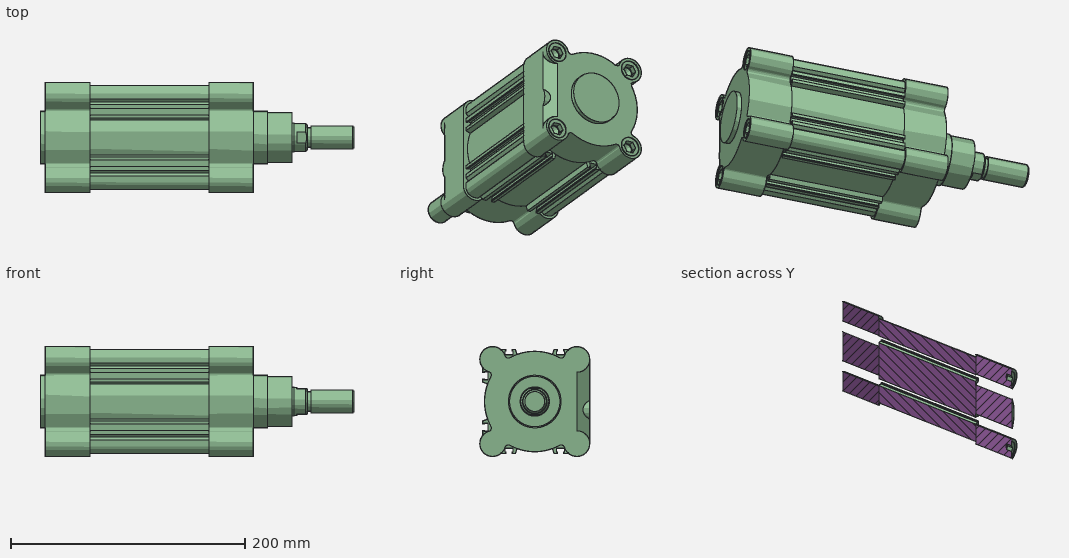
import cadquery as cq
import math


REAR_SPIGOT_LENGTH = 4.0
BODY_LENGTH = 178.0
REAR_CAP_LENGTH = 38.5
FRONT_CAP_LENGTH = 38.0
REAR_FACE = REAR_SPIGOT_LENGTH
TUBE_START = REAR_FACE + REAR_CAP_LENGTH
FRONT_FACE = REAR_FACE + BODY_LENGTH
TUBE_END = FRONT_FACE - FRONT_CAP_LENGTH

CAP_RADIUS = 43.0
CORNER_PITCH = 72.0
POST_RADIUS = 11.0
POST_FILLET = 3.0
CORNER = CORNER_PITCH / 2
PANEL_FACE = CORNER + POST_RADIUS
PANEL_BEVEL_ANGLE = 30.0
PANEL_BEVEL_LENGTH = POST_RADIUS * math.tan(math.radians(PANEL_BEVEL_ANGLE))
PORT_BOSS_RADIUS = 11.5
PORT_BOSS_INSET = 14.5
PORT_BOSS_Z = -7.0
SPIGOT_RADIUS = 22.5
FRONT_SPIGOT_LENGTH = 12.0
NOSE_RADIUS = 21.5
NOSE_LENGTH = 21.0
NOSE_LIP_RADIUS = 12.5
NOSE_LIP_LENGTH = 1.7

SCREW_HEAD_RADIUS = 8.5
SCREW_HEAD_RECESS = 0.8
HEX_ACROSS_FLATS = 10.0
HEX_DEPTH = 6.0
CONE_RADIUS = 4.5
CONE_DEPTH = 2.6

TUBE_RADIUS = 43.0
TUBE_HALF_WIDTH = 44.5
TUBE_CORNER_RADIUS = 8.0
RIB_FOOT = 15.0
RIB_CREST = 16.5
SLOT_CENTRE = 22.0
SLOT_OPENING = 5.3
SLOT_WIDTH = 6.6
SLOT_LIP_THICKNESS = 1.5
SLOT_FLOOR = 40.0
GROOVE_CENTRE = 30.4
GROOVE_DEPTH = 2.4

ROD_RADIUS = 12.0
ROD_CHAMFER = 1.5
ROD_SHOULDER = FRONT_FACE + 46.0
FLATS_LENGTH = 9.0
FLATS_WIDTH = 22.0
NECK_RADIUS = 8.5
NECK_LENGTH = 3.0
THREAD_RADIUS = 10.0
THREAD_CHAMFER = 1.5
ROD_END = ROD_SHOULDER + 40.0


def cross_section(x):
    """Sketch plane across the axis: local x is +Y, local y is +Z."""
    return cq.Workplane("YZ", origin=(x, 0, 0))


def corner_points():
    return [(sy * CORNER, sz * CORNER) for sy in (-1, 1) for sz in (-1, 1)]


def fillet_webs(x, length):
    """Webs that round the inside corners between the posts and the cap body."""
    post_distance = CORNER * math.sqrt(2)
    to_body = CAP_RADIUS + POST_FILLET
    to_post = POST_RADIUS + POST_FILLET
    spread = math.acos((to_body**2 + post_distance**2 - to_post**2) / (2 * to_body * post_distance))
    webs = None
    for quadrant in range(4):
        diagonal = math.radians(45 + 90 * quadrant)
        post = (post_distance * math.cos(diagonal), post_distance * math.sin(diagonal))
        for side in (-1, 1):
            angle = diagonal + side * spread
            centre = (to_body * math.cos(angle), to_body * math.sin(angle))
            web = cross_section(x).polyline([(0, 0), post, centre]).close().extrude(length)
            web = web.cut(cross_section(x).center(*centre).circle(POST_FILLET).extrude(length))
            webs = web if webs is None else webs.union(web)
    return webs


def port_panel(outer_face, inner_face):
    """Flat block on the +Y side of a cap."""
    start = min(outer_face, inner_face)
    length = abs(inner_face - outer_face)
    return cross_section(start).center(PANEL_FACE / 2, 0).rect(PANEL_FACE, CORNER_PITCH).extrude(length)


def panel_bevel(outer_face, inward):
    """Wedge that bevels the port panel at the outer cap face."""
    outline = [
        (outer_face, CORNER),
        (outer_face, PANEL_FACE),
        (outer_face + inward * PANEL_BEVEL_LENGTH, PANEL_FACE),
    ]
    return cq.Workplane("XY").polyline(outline).close().extrude(CORNER, both=True)


def port_boss(outer_face, inward):
    """Round boss that stands out of the bevel and ends flush with the port panel."""
    boss_x = outer_face + inward * PORT_BOSS_INSET
    boss_plane = cq.Workplane("XZ", origin=(boss_x, PANEL_FACE, PORT_BOSS_Z))
    return boss_plane.circle(PORT_BOSS_RADIUS).extrude(PANEL_FACE - CORNER)


def cap_body(outer_face, inner_face):
    start = min(outer_face, inner_face)
    length = abs(inner_face - outer_face)
    inward = math.copysign(1, inner_face - outer_face)
    body = cross_section(start).circle(CAP_RADIUS).extrude(length)
    body = body.union(fillet_webs(start, length))
    body = body.union(port_panel(outer_face, inner_face))
    body = body.cut(panel_bevel(outer_face, inward))
    body = body.union(port_boss(outer_face, inward))
    posts = cross_section(start).pushPoints(corner_points()).circle(POST_RADIUS).extrude(length)
    return body.union(posts)


def screw_sockets():
    """Shallow head recess, hexagon socket and conical bottom at each corner post."""
    hex_floor = REAR_FACE + HEX_DEPTH
    points = corner_points()
    hex_diameter = HEX_ACROSS_FLATS / math.cos(math.pi / 6)
    sockets = cross_section(REAR_FACE).pushPoints(points).circle(SCREW_HEAD_RADIUS).extrude(SCREW_HEAD_RECESS)
    hexagons = cross_section(REAR_FACE).pushPoints(points).polygon(6, hex_diameter).extrude(HEX_DEPTH)
    sockets = sockets.union(hexagons)
    for y, z in points:
        cone = cq.Solid.makeCone(CONE_RADIUS, 0, CONE_DEPTH, cq.Vector(hex_floor, y, z), cq.Vector(1, 0, 0))
        sockets = sockets.union(cq.Workplane(cone))
    return sockets


def make_rear_cap():
    spigot = cross_section(0).circle(SPIGOT_RADIUS).extrude(REAR_SPIGOT_LENGTH)
    return cap_body(REAR_FACE, TUBE_START).union(spigot).cut(screw_sockets())


def make_front_cap():
    nose_start = FRONT_FACE + FRONT_SPIGOT_LENGTH
    nose_end = nose_start + NOSE_LENGTH
    cap = cap_body(FRONT_FACE, TUBE_END)
    cap = cap.union(cross_section(FRONT_FACE).circle(SPIGOT_RADIUS).extrude(FRONT_SPIGOT_LENGTH))
    cap = cap.union(cross_section(nose_start).circle(NOSE_RADIUS).extrude(NOSE_LENGTH))
    cap = cap.union(cross_section(nose_end).circle(NOSE_LIP_RADIUS).extrude(NOSE_LIP_LENGTH))
    rod_hole = cross_section(TUBE_END).circle(ROD_RADIUS).extrude(ROD_SHOULDER - TUBE_END)
    return cap.cut(rod_hole)


def tube_side_cuts(length):
    """Everything cut from the +Z side of the square tube."""
    top = TUBE_HALF_WIDTH
    lip_underside = top - SLOT_LIP_THICKNESS
    rib_foot_height = math.sqrt(TUBE_RADIUS**2 - RIB_FOOT**2)
    relief_outline = [
        (-RIB_FOOT, 0),
        (-RIB_FOOT, rib_foot_height),
        (-RIB_CREST, top),
        (RIB_CREST, top),
        (RIB_FOOT, rib_foot_height),
        (RIB_FOOT, 0),
    ]
    cuts = cross_section(TUBE_START).polyline(relief_outline).close().extrude(length)
    cuts = cuts.cut(cross_section(TUBE_START).circle(TUBE_RADIUS).extrude(length))
    for side in (-1, 1):
        slot_outline = [
            (side * SLOT_CENTRE - SLOT_OPENING / 2, top),
            (side * SLOT_CENTRE - SLOT_OPENING / 2, lip_underside),
            (side * SLOT_CENTRE - SLOT_WIDTH / 2, lip_underside),
            (side * SLOT_CENTRE - SLOT_WIDTH / 2, SLOT_FLOOR),
            (side * SLOT_CENTRE + SLOT_WIDTH / 2, SLOT_FLOOR),
            (side * SLOT_CENTRE + SLOT_WIDTH / 2, lip_underside),
            (side * SLOT_CENTRE + SLOT_OPENING / 2, lip_underside),
            (side * SLOT_CENTRE + SLOT_OPENING / 2, top),
        ]
        groove_outline = [
            (side * GROOVE_CENTRE - GROOVE_DEPTH, top),
            (side * GROOVE_CENTRE, top - GROOVE_DEPTH),
            (side * GROOVE_CENTRE + GROOVE_DEPTH, top),
        ]
        for outline in (slot_outline, groove_outline):
            cuts = cuts.union(cross_section(TUBE_START).polyline(outline).close().extrude(length))
    return cuts


def make_tube():
    length = TUBE_END - TUBE_START
    width = 2 * TUBE_HALF_WIDTH
    tube = cross_section(TUBE_START).rect(width, width).extrude(length)
    tube = tube.edges("|X").fillet(TUBE_CORNER_RADIUS)
    side_cuts = tube_side_cuts(length)
    for quarter in range(4):
        tube = tube.cut(side_cuts.rotate((0, 0, 0), (1, 0, 0), 90 * quarter))
    return tube


def make_rod():
    shank = cross_section(TUBE_END).circle(ROD_RADIUS).extrude(ROD_SHOULDER - TUBE_END)
    shank = shank.faces(">X").chamfer(ROD_CHAMFER)
    flats_middle = ROD_SHOULDER - FLATS_LENGTH / 2
    for side in (-1, 1):
        flat_cut = cq.Workplane("XY").box(FLATS_LENGTH, 2 * ROD_RADIUS, ROD_RADIUS)
        shank = shank.cut(flat_cut.translate((flats_middle, 0, side * (FLATS_WIDTH + ROD_RADIUS) / 2)))
    neck = cross_section(ROD_SHOULDER).circle(NECK_RADIUS).extrude(NECK_LENGTH)
    thread_start = ROD_SHOULDER + NECK_LENGTH
    thread = cross_section(thread_start).circle(THREAD_RADIUS).extrude(ROD_END - thread_start)
    thread = thread.faces(">X").chamfer(THREAD_CHAMFER)
    return shank.union(neck).union(thread)


rear_cap = make_rear_cap()
tube = make_tube()
front_cap = make_front_cap()
rod = make_rod()

result = cq.Compound.makeCompound([rear_cap.val(), tube.val(), front_cap.val(), rod.val()])